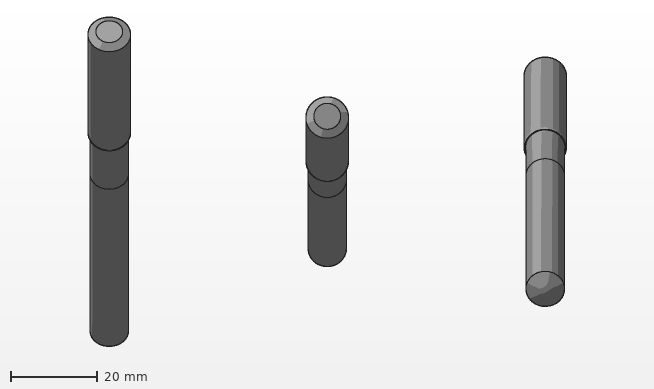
import cadquery as cq
import math

TOTAL_LENGTH = 120.0
SHANK_DIAMETER = 10.0
SHANK_LENGTH = 40.0
DRILL_DIAMETER = 9.0
POINT_ANGLE = 140.0
CUTTING_LENGTH = 63.8
SHANK_TAPER_HEIGHT = 0.6
SHANK_TAPER_END_DIAMETER = 9.6
NECK_TAPER_HEIGHT = 0.7
NECK_TAPER_TOP_DIAMETER = 9.2
END_FLAT_DIAMETER = 6.2
END_CHAMFER_ANGLE = 30.0

shank_radius = SHANK_DIAMETER / 2
drill_radius = DRILL_DIAMETER / 2
end_flat_radius = END_FLAT_DIAMETER / 2
point_height = drill_radius / math.tan(math.radians(POINT_ANGLE / 2))
chamfer_height = (shank_radius - end_flat_radius) * math.tan(math.radians(END_CHAMFER_ANGLE))
shank_bottom = TOTAL_LENGTH - SHANK_LENGTH
step_level = shank_bottom - SHANK_TAPER_HEIGHT
neck_taper_bottom = step_level - NECK_TAPER_HEIGHT


def revolve_profile(points):
    """Turn a closed (radius, height) outline about the Z axis."""
    return cq.Workplane("XZ").polyline(points).close().revolve(360, (0, 0), (0, 1))


def make_cutting_body():
    """Plain cylindrical envelope of the cutting part, with a conical point."""
    return revolve_profile([
        (0, 0),
        (drill_radius, point_height),
        (drill_radius, CUTTING_LENGTH),
        (0, CUTTING_LENGTH),
    ])


def make_shank_body():
    """Neck with a slight top taper, a small step and a tapered, chamfered shank."""
    return revolve_profile([
        (0, CUTTING_LENGTH),
        (drill_radius, CUTTING_LENGTH),
        (drill_radius, neck_taper_bottom),
        (NECK_TAPER_TOP_DIAMETER / 2, step_level),
        (SHANK_TAPER_END_DIAMETER / 2, step_level),
        (shank_radius, shank_bottom),
        (shank_radius, TOTAL_LENGTH - chamfer_height),
        (end_flat_radius, TOTAL_LENGTH),
        (0, TOTAL_LENGTH),
    ])


cutting_body = make_cutting_body()
shank_body = make_shank_body()

result = cq.Compound.makeCompound([cutting_body.val(), shank_body.val()])